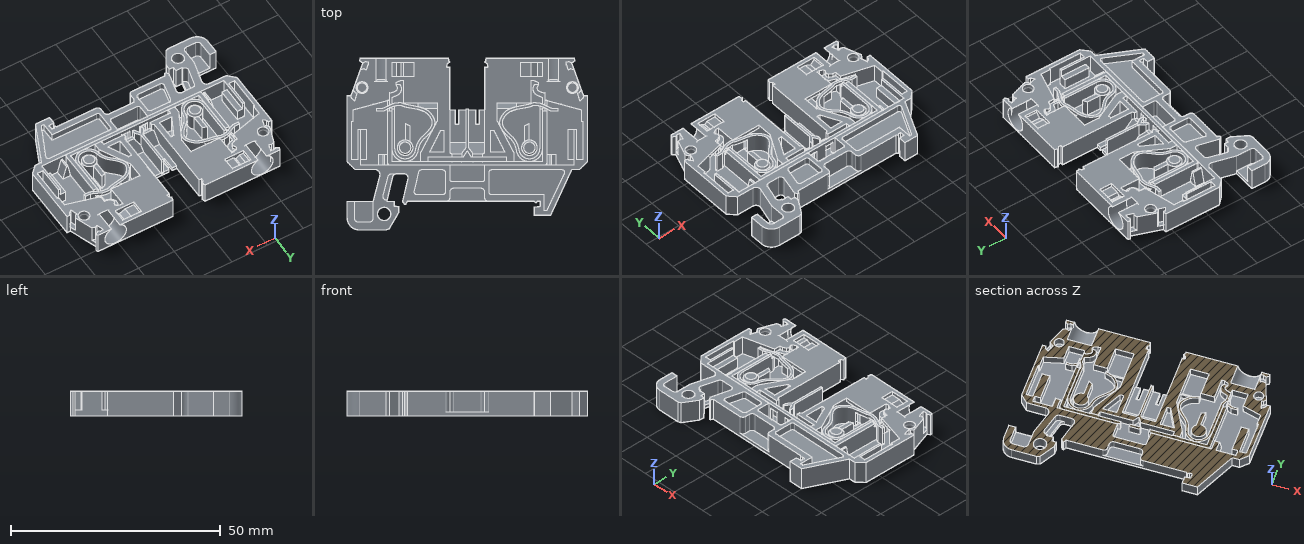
import cadquery as cq
import math


width = 57.4
height = 41.0
thickness = 6.0
half_width = width / 2
floor_z = 1.0
base_pocket_z = 4.0
clip_floor_z = 1.5
hook_top_z = 5.0
cut_margin = 1.0
open_top = thickness + cut_margin

base_y = 6.85
base_top_y = 14.45
chamber_y = 15.5
shoulder_y = 32.1
tower_x = 4.15
ramp_near_x = 7.15
ramp_far_x = 11.75
plate_top_y = 28.7

bar_outer_x = 19.0
bar_leg = 1.05
bar_web = 0.85
bar_corner = 0.6
bar_shoulder_y = 28.4
bar_tongue_y = 31.0
bar_inner_x = bar_outer_x - bar_leg
hook_x = 18.6
bar_top_y = chamber_y + bar_web

strip = 0.65
post_x = 14.82
loop_radius = bar_inner_x - post_x - strip / 2
loop_y = bar_top_y + strip / 2 + loop_radius
spring_leg_y = 28.9

post_y = 19.66
post_radius = 1.85
post_chamfer = 0.5


def prism(points, bottom, top):
    """Straight-sided prism over a closed polygon, between two heights."""
    return cq.Workplane("XY", origin=(0, 0, bottom)).polyline(points).close().extrude(top - bottom)


def box(x0, x1, y0, y1, bottom, top):
    """Block between opposite corners."""
    return cq.Workplane("XY").box(x1 - x0, y1 - y0, top - bottom, centered=False).translate((x0, y0, bottom))


def disc(x, y, radius, bottom, top):
    """Upright cylinder."""
    return cq.Workplane("XY", origin=(x, y, bottom)).circle(radius).extrude(top - bottom)


def mirrored(shape):
    """The same shape on the opposite side of X = 0."""
    return shape.mirror("YZ")


tower_edge = [
    (-27.75, shoulder_y),
    (-24.95, 39.85),
    (-25.7, 40.35),
    (-25.55, height),
    (-4.45, height),
    (-4.35, 40.25),
    (-4.15, 40.1),
    (-4.8, 39.6),
    (-4.85, 38.9),
    (-tower_x, 38.9),
    (-tower_x, plate_top_y),
]
shoulder_edge = [(-26.8, base_top_y), (-half_width, 16.35), (-half_width, shoulder_y)]


def outer_body():
    heel_radius = 3.0
    neck_radius = 1.2
    left_side = shoulder_edge + tower_edge
    right_side = [(-x, y) for x, y in reversed(left_side)]
    right_foot = [
        (24.97, base_top_y),
        (19.9, 3.5),
        (15.95, 3.5),
        (15.95, 5.5),
        (17.4, 5.65),
        (17.4, base_y),
        (16.75, base_y),
        (16.35, 6.45),
        (16.0, base_y),
    ]
    slot_mouth = [(-14.3, base_y), (-14.65, 6.15), (-15.0, 6.15), (-15.45, base_y)]
    left_foot = [
        (-17.4, base_y),
        (-17.4, 5.75),
        (-16.3, 5.6),
        (-16.3, 4.25),
        (-18.6, 0.3),
        (-19.4, 0),
        (-half_width, 0),
        (-half_width, base_y),
        (-22.47, base_y),
        (-20.5, base_top_y),
    ]
    body = prism(left_side + right_side + right_foot + slot_mouth + left_foot, 0, thickness)
    heel = cq.selectors.NearestToPointSelector((-half_width, 0, thickness / 2))
    neck = cq.selectors.NearestToPointSelector((-20.5, base_top_y, thickness / 2))
    return body.edges(heel).fillet(heel_radius).edges(neck).fillet(neck_radius)


def base_cuts():
    mouth_radius = 0.9
    corner_radius = 0.9
    slot_top_y = 13.4
    eye_radius = 1.55
    pocket_x = 5.2
    pocket_low_y = 8.45
    pocket_top_y = 14.4
    web_low_y = 10.0
    web_top_y = 11.6
    slot_outline = [(-19.15, base_y), (-17.6, slot_top_y), (-13.9, slot_top_y), (-15.45, base_y)]
    slot_wall = prism(slot_outline, -cut_margin, open_top)
    slot_wall = slot_wall.edges("|Z").edges(">Y").fillet(corner_radius)
    ledge_outline = [(-20.4, 7.15), (-18.75, slot_top_y), (-15, slot_top_y), (-17, 7.15)]
    ledge = prism(ledge_outline, floor_z, open_top)
    ledge = ledge.edges("|Z").edges("<X or >Y").fillet(corner_radius)
    mouth = box(-17.4, -15.45, base_y - cut_margin / 10, 7.5, -cut_margin, open_top)
    eye = disc(-19.83, 3.85, eye_radius, -cut_margin, open_top)
    foot = box(-26.9, -22.47, 1.9, base_y + cut_margin, floor_z, open_top)
    foot = foot.edges("|Z and <Y").fillet(corner_radius)
    left_outline = [
        (-11.45, pocket_top_y),
        (-pocket_x, pocket_top_y),
        (-pocket_x, pocket_low_y),
        (-12.85, pocket_low_y),
    ]
    left_pocket = prism(left_outline, base_pocket_z, open_top)
    left_pocket = left_pocket.edges("|Z").fillet(0.7)
    right_outline = [
        (pocket_x, pocket_top_y),
        (23.6, pocket_top_y),
        (19.0, 4.7),
        (18.3, 4.7),
        (18.3, pocket_low_y),
        (pocket_x, pocket_low_y),
    ]
    right_pocket = prism(right_outline, base_pocket_z, open_top)
    right_pocket = right_pocket.edges("|Z").edges("<X or >Y").fillet(0.6)
    upper = box(-tower_x, tower_x, web_top_y, chamber_y, floor_z, open_top).edges("|Z and <Y").fillet(0.5)
    lower = (
        cq.Workplane("XY", origin=(0, 0, floor_z))
        .moveTo(-tower_x - mouth_radius, base_y - cut_margin)
        .lineTo(-tower_x - mouth_radius, base_y)
        .radiusArc((-tower_x, base_y + mouth_radius), -mouth_radius)
        .lineTo(-tower_x, web_low_y)
        .lineTo(tower_x, web_low_y)
        .lineTo(tower_x, base_y + mouth_radius)
        .radiusArc((tower_x + mouth_radius, base_y), -mouth_radius)
        .lineTo(tower_x + mouth_radius, base_y - cut_margin)
        .close()
        .extrude(thickness)
    )
    lower = lower.edges("|Z and >Y").fillet(corner_radius)
    return [slot_wall, ledge, mouth, eye, foot, left_pocket, right_pocket, upper, lower]


hook_outer_edge = [(-hook_x, 32.7), (-17.85, 32.8), (-16.85, 33.3), (-16.6, 33.95)]
hook_tip = (-17.05, 34.7)


def chamber():
    wire_bay = prism(
        [
            (-27.65, 16.9),
            (-27.65, 25.95),
            (-27.3, 25.95),
            (-27.3, 28.65),
            (-hook_x, bar_tongue_y),
            (-bar_inner_x, bar_tongue_y),
            (-bar_inner_x, chamber_y),
            (-25.5, chamber_y),
            (-25.5, 16.9),
        ],
        floor_z,
        open_top,
    )
    spring_bay = prism(
        [
            (-bar_outer_x, 30.3),
            (-ramp_near_x, 30.3),
            (-ramp_near_x, 26.05),
            (-11.2, 18.3),
            (-11.2, bar_top_y),
            (-bar_outer_x, bar_top_y),
        ],
        floor_z,
        open_top,
    )
    hook_bay_end = [
        hook_tip,
        (-16.95, 35.2),
        (-15.95, 35.65),
        (-15.25, 35.65),
        (-15.25, 30.2),
        (-hook_x, 30.2),
    ]
    hook_bay = prism(hook_outer_edge + hook_bay_end, floor_z, open_top)
    tunnel = box(-ramp_far_x, -ramp_near_x, 30.2, 36.4, floor_z, hook_top_z)
    wire_entry = box(-22.5, -hook_x, 29.0, 33.6, floor_z, hook_top_z)
    return [wire_bay, spring_bay, hook_bay, tunnel, wire_entry]


def chamber_ribs():
    stop_x = 25.5
    stop_low_y = 16.8
    stop_top_y = 23.95
    stop_step_z = 4.0
    ridge_top_z = 5.0
    ridge_length = 2.5
    post_rib_z = 5.4
    stop_rib = box(-26.05, -stop_x, stop_low_y, stop_top_y, floor_z, thickness)
    stop_step = box(-stop_x, -24.05, 16.9, stop_top_y, floor_z, stop_step_z)
    bay_ramp = (
        cq.Workplane("YZ", origin=(-ramp_far_x, 0, 0))
        .polyline([(29.05, floor_z), (29.05, 2.3), (30.3, floor_z)])
        .close()
        .extrude(ramp_far_x - ramp_near_x)
    )
    ridge = (
        cq.Workplane("XZ", origin=(0, chamber_y, 0))
        .polyline([(-21.15, floor_z), (-20.15, ridge_top_z), (-19.75, ridge_top_z), (-bar_outer_x, floor_z)])
        .close()
        .extrude(-ridge_length)
    )
    post = disc(-post_x, post_y, post_radius, floor_z, thickness).faces(">Z").chamfer(post_chamfer)
    post_rib_outline = [(-14.75, post_y), (-14.75, 25.4), (-13.65, 24.85), (-13.65, post_y)]
    post_rib = prism(post_rib_outline, floor_z, post_rib_z)
    return [stop_rib, stop_step, bay_ramp, ridge, post, post_rib]


def tower_cuts():
    bore_x = 20.55
    bore_radius = 3.0
    bore_z = 3.25
    bore_end_y = 35.4
    bore_slope = 0.5
    bore = (
        cq.Workplane("XZ", origin=(-bore_x, height + cut_margin, bore_z))
        .circle(bore_radius)
        .extrude(height + cut_margin - bore_end_y)
    )
    end_slope = (
        cq.Workplane("YZ", origin=(-bore_x, 0, 0))
        .polyline([(bore_end_y, thickness), (bore_end_y, 0), (bore_end_y + bore_slope, 0)])
        .close()
        .extrude(2 * bore_radius, both=True)
    )
    bore = bore.cut(end_slope)
    socket_x = 25.1
    socket_y = 34.0
    socket_radius = 1.15
    mouth_radius = 1.4
    mouth_depth = 0.85
    mouth_taper = math.degrees(math.atan((mouth_radius - socket_radius) / mouth_depth))
    mouth = cq.Workplane("XY", origin=(-socket_x, socket_y, thickness)).circle(mouth_radius)
    mouth = mouth.extrude(-mouth_depth, taper=mouth_taper)
    socket = mouth.union(disc(-socket_x, socket_y, socket_radius, floor_z, thickness - mouth_depth / 2))
    upper_outline = [
        (-25.6, 38.2),
        (-24.95, 39.85),
        (-24.25, 40.2),
        (-23.5, 40.0),
        (-24.1, 38.2),
        (-24.65, 38.5),
    ]
    lower_outline = [
        (-27.75, shoulder_y),
        (-27.25, 33.5),
        (-26.7, 32.75),
        (-26.25, 32.75),
        (-26.85, 30.8),
        (-27.65, 31.5),
    ]
    clip_upper = prism(upper_outline, clip_floor_z, open_top)
    clip_lower = prism(lower_outline, clip_floor_z, open_top)
    triangle = prism([(-6.35, 23.8), (-5.5, 23.8), (-5.5, 18.65), (-8.95, 18.65)], floor_z, open_top)
    return [bore, socket, clip_upper, clip_lower, triangle]


def window(profile):
    """Window in a tower, open at the top, with a V groove across its floor."""
    low_y = 36.6
    high_y = 40.0
    first_x = profile[0][0]
    last_x = profile[-1][0]
    outline = [(first_x, open_top)] + profile + [(last_x, open_top)]
    return cq.Workplane("XZ", origin=(0, low_y, 0)).polyline(outline).close().extrude(low_y - high_y)


def windows():
    floor = 5.0
    left = window([(-17.95, floor), (-16.85, floor), (-15.85, 4.3), (-15.2, floor), (-12.75, floor)])
    right = window([(12.75, floor), (15.2, floor), (16.8, 4.2), (17.95, 5.3)])
    return [left, right]


bay_low_y = 18.2
bay_ramp_top_z = 3.9
relief_y = 17.45
fork_x = 0.95
fork_peak_y = 18.9
bar_notch_x = 3.6


def middle_bay():
    corner_radius = 0.5
    bay = box(-tower_x, tower_x, bay_low_y, height, floor_z, open_top)
    bay = bay.edges("|Z and <Y").fillet(corner_radius)
    ramp = (
        cq.Workplane("YZ", origin=(-tower_x, 0, 0))
        .polyline([(bay_low_y, floor_z), (20.85, floor_z), (bay_low_y, bay_ramp_top_z)])
        .close()
        .extrude(2 * tower_x)
    )
    return bay, ramp


def partition():
    """Thin fin on the centre line that forks into two short legs above the busbar."""
    half_fin = 0.3
    right_edge = [(half_fin, 28.9), (half_fin, 19.65), (1.3, 18.35), (1.3, relief_y), (fork_x, relief_y)]
    left_edge = [(-x, y) for x, y in reversed(right_edge)]
    return prism(right_edge + [(0, fork_peak_y)] + left_edge, floor_z, thickness)


def middle_cuts():
    bar_channel = box(-bar_outer_x, bar_outer_x, chamber_y, bar_top_y, floor_z, open_top)
    relief_x = 9.35
    bar_relief = box(-relief_x, relief_x, bar_top_y, relief_y, floor_z, open_top)
    relief_mouth = box(-bar_notch_x, bar_notch_x, relief_y, bay_low_y, bay_ramp_top_z, open_top)
    fork_gap = prism([(-fork_x, relief_y), (0, fork_peak_y), (fork_x, relief_y)], floor_z, open_top)
    return [bar_channel, bar_relief, relief_mouth, fork_gap]


def build_housing(spring):
    body = outer_body()
    bay, ramp = middle_bay()
    body = body.cut(bay).union(ramp)
    for cut in base_cuts() + middle_cuts() + windows():
        body = body.cut(cut)
    for cut in chamber() + tower_cuts():
        body = body.cut(cut).cut(mirrored(cut))
    for rib in chamber_ribs():
        rib = rib.cut(spring)
        body = body.union(rib).union(mirrored(rib))
    slit = box(-2.85, -2.05, 25.3, 29.0, -cut_margin, open_top)
    body = body.cut(slit).cut(mirrored(slit))
    return body.union(partition())


def build_busbar():
    bar = box(-bar_outer_x, bar_outer_x, chamber_y, bar_shoulder_y, floor_z, thickness)
    bar = bar.edges("|Z and <Y").fillet(bar_corner)
    bar = bar.cut(box(-bar_inner_x, bar_inner_x, bar_top_y, bar_shoulder_y, floor_z, thickness))
    notch_top_z = 4.7
    notch = box(-bar_notch_x, -1.4, chamber_y, bar_top_y, floor_z, notch_top_z)
    bar = bar.cut(notch).cut(mirrored(notch))
    tongue = box(-bar_outer_x, -hook_x, bar_shoulder_y, bar_tongue_y, floor_z, hook_top_z)
    return bar.union(tongue).union(mirrored(tongue))


def build_spring():
    leg_x = strip / 2 - bar_inner_x
    loop_end_angle = math.radians(-10)
    loop_end = (
        loop_radius * math.cos(loop_end_angle) - post_x,
        loop_y + loop_radius * math.sin(loop_end_angle),
    )
    loop_direction = (-math.sin(loop_end_angle), math.cos(loop_end_angle))
    arch_points = [
        (-11.1, 21.4),
        (-9.15, 23.4),
        (-8.05, 25.6),
        (-9.6, 28.25),
        (-12.1, 29.2),
        (-15.3, 29.87),
        (-17.5, 29.93),
    ]
    tail_y = 28.7
    path = (
        cq.Workplane("XY", origin=(0, 0, floor_z))
        .moveTo(leg_x, spring_leg_y)
        .lineTo(leg_x, loop_y)
        .threePointArc((-post_x, loop_y - loop_radius), loop_end)
        .spline(
            arch_points,
            tangents=[loop_direction, (-1, -0.15)],
            includeCurrent=True,
        )
        .lineTo(-20.1, tail_y)
        .lineTo(-21.6, tail_y)
    )
    width_z = thickness - floor_z
    profile = cq.Workplane("XZ", origin=(leg_x, spring_leg_y, floor_z + width_z / 2))
    loop = profile.rect(strip, width_z).sweep(path, transition="right")
    leg_inner_x = bar_inner_x - strip
    arch_x = 11.8
    arch_y = 28.3
    window_outline = [
        (-bar_outer_x, bar_shoulder_y),
        (-bar_inner_x, bar_shoulder_y),
        (-bar_inner_x, spring_leg_y),
        (-leg_inner_x, spring_leg_y),
        (-leg_inner_x, arch_y),
        (-arch_x, arch_y),
        (-arch_x, bar_tongue_y),
        (-bar_outer_x, bar_tongue_y),
    ]
    loop = loop.cut(prism(window_outline, floor_z, hook_top_z))
    return loop.union(spring_hook())


def spring_hook():
    """Low end of the leg: it bends under the tail and ends in a curled tip."""
    root_y = spring_leg_y - 0.5
    bend_y = 30.4
    inner_x = bar_inner_x - strip
    root = [
        (-inner_x, root_y),
        (-bar_inner_x, root_y),
        (-bar_inner_x, spring_leg_y),
        (-hook_x, bend_y),
    ]
    return (
        cq.Workplane("XY", origin=(0, 0, floor_z))
        .polyline(root + hook_outer_edge + [hook_tip, (-16.05, 34.75)])
        .threePointArc((-15.7, 33.5), (-16.7, 32.15))
        .lineTo(-bar_inner_x, 31.65)
        .lineTo(-bar_inner_x, bend_y)
        .lineTo(-inner_x, spring_leg_y + 0.3)
        .close()
        .extrude(hook_top_z - floor_z)
    )


spring = build_spring()
housing = build_housing(spring)
busbar = build_busbar()
springs = [spring.solids().val(), mirrored(spring).solids().val()]

result = cq.Compound.makeCompound([housing.solids().val(), busbar.solids().val(), *springs])